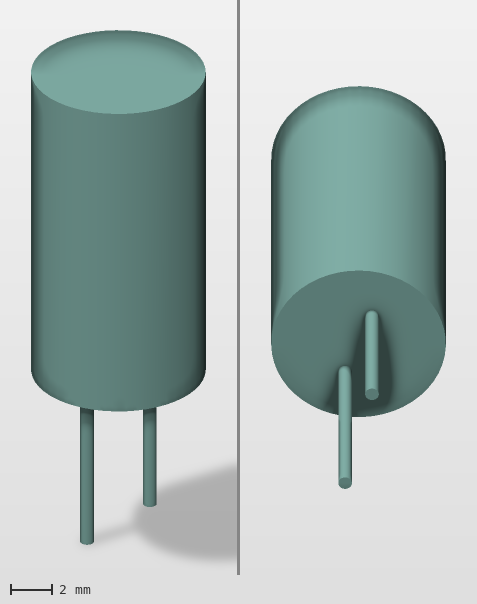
import cadquery as cq

total_height = 26.5
can_diameter = 8.5
lead_diameter = 0.65
lead_spacing = 3.47
long_lead_length = 10.0
short_lead_length = 7.0

can_height = total_height - long_lead_length


def make_can():
    """Plain cylindrical can standing on the plane Z = 0."""
    return cq.Workplane("XY").circle(can_diameter / 2).extrude(can_height)


def make_lead(x_position, length):
    """Straight round lead hanging from the underside of the can."""
    return cq.Workplane("XY").center(x_position, 0).circle(lead_diameter / 2).extrude(-length)


can = make_can()

lead_layout = [
    (-lead_spacing / 2, long_lead_length),
    (lead_spacing / 2, short_lead_length),
]
leads = [make_lead(x_position, length).val() for x_position, length in lead_layout]

result = cq.Compound.makeCompound([can.val(), *leads])